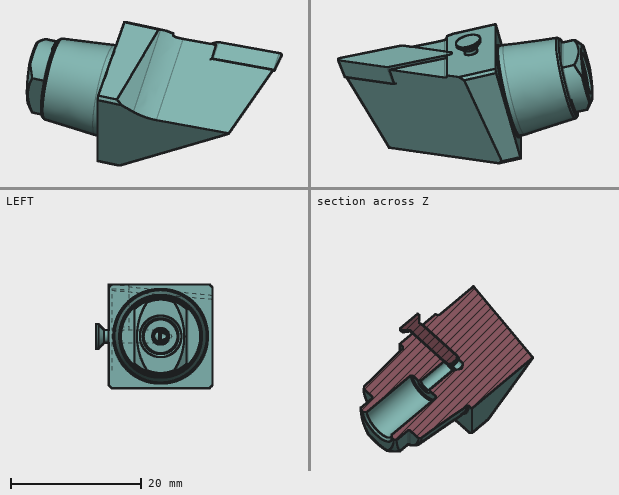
import cadquery as cq
import math


HEAD_SIDE = 16.0
HALF_SIDE = HEAD_SIDE / 2
HEAD_CHAMFER = 0.5
STOCK_LENGTH = 2 * HEAD_SIDE

TIP_REACH = 25.0
INSERT_INSCRIBED_DIAMETER = 6.35
INSERT_POINT_ANGLE = 35.0
INSERT_THICKNESS = 3.18
INSERT_CORNER_RADIUS = 0.4
INSERT_CLEARANCE_ANGLE = 5.0
INSERT_TILT = 3.0
INSERT_SIDE = INSERT_INSCRIBED_DIAMETER / math.sin(math.radians(INSERT_POINT_ANGLE))

TOP_SETBACK = 0.12
FLANK_ANGLE = INSERT_TILT + INSERT_POINT_ANGLE
FLANK_SETBACK = 0.09
HEAD_TIP_RADIUS = 0.1
FACE_RECESS = 0.5
RECESS_START = 7.7
RECESS_CORNER_RADIUS = 0.5

RAMP_ANGLE = 28.0
HOLLOW_RADIUS = 7.0
HOLLOW_END = 9.4

SHANK_LENGTH = 12.48
COLLAR_X = -9.55
COLLAR_CHAMFER = 0.37
COLLAR_FACE_RADIUS = 6.1
TAPER_SMALL_RADIUS = 6.38
SHANK_RADIUS = 7.1
TAPER_END_X = -1.0
ROOT_FLARE = 0.2

NOSE_RADIUS = 5.82
NOSE_CHAMFER = 0.18
NOSE_ROOT_FILLET = 0.2
FLAT_HALF_WIDTH = 4.0
LEAD_OFFSET = 6.06
LEAD_RADIUS = 9.7
LEAD_SLOPE = 0.8

BORE_RADIUS = 2.75
BORE_MOUTH_RADIUS = 3.2
BORE_STEP_RADIUS = 2.6
BORE_DEPTH = 10.0
DUCT_RADIUS = 1.0
DUCT_MOUTH_RADIUS = 1.29

SCREW_X = 3.84
SCREW_STANDOUT = 1.95
SCREW_TOP = HALF_SIDE + SCREW_STANDOUT
SCREW_END = -0.1
SCREW_RADIUS = 1.0
SCREW_END_RADIUS = 0.5
SCREW_END_CHAMFER = 0.33
SCREW_HEAD_RADIUS = 1.92
SCREW_HEAD_RIM = 0.38
SCREW_HEAD_HEIGHT = 1.28
PILOT_RADIUS = 0.75
PILOT_BOTTOM = -1.3
DRILL_POINT_HALF_ANGLE = 59.0


def toward(angle, distance):
    """Vector in the XZ plane at an angle (degrees) above +X."""
    radians = math.radians(angle)
    return cq.Vector(distance * math.cos(radians), 0, distance * math.sin(radians))


POINT_BISECTOR = INSERT_TILT + INSERT_POINT_ANGLE / 2
CORNER_CENTER = cq.Vector(TIP_REACH - INSERT_CORNER_RADIUS, 0, HALF_SIDE - INSERT_CORNER_RADIUS)
SHARP_TIP = CORNER_CENTER + toward(
    POINT_BISECTOR, INSERT_CORNER_RADIUS / math.sin(math.radians(INSERT_POINT_ANGLE / 2))
)


def make_insert():
    """Rhombic plate with rounded corners, full size on its +Y face."""
    along_top = toward(INSERT_TILT, -INSERT_SIDE)
    along_flank = toward(INSERT_TILT + INSERT_POINT_ANGLE, -INSERT_SIDE)
    corners = [
        SHARP_TIP,
        SHARP_TIP + along_top,
        SHARP_TIP + along_top + along_flank,
        SHARP_TIP + along_flank,
    ]
    rounded_plate = (
        cq.Workplane("XZ", origin=(0, HALF_SIDE, 0))
        .polyline([(corner.x, corner.z) for corner in corners])
        .close()
        .extrude(INSERT_THICKNESS)
        .edges("|Y")
        .fillet(INSERT_CORNER_RADIUS)
    )
    outline = rounded_plate.faces(">Y").wires()
    return outline.toPending().workplane(invert=True).extrude(
        INSERT_THICKNESS, taper=INSERT_CLEARANCE_ANGLE, combine=False
    )


def revolve_x(*profile):
    """Solid of revolution about the X axis from (x, radius) points."""
    return cq.Workplane("XZ").polyline(profile).close().revolve(360, (0, 0, 0), (1, 0, 0))


def leaning_prism(outline, lean):
    """Prism through the head from an XZ outline at the middle, moved by `lean` per unit of Y."""
    reach = HEAD_SIDE
    start = cq.Vector(0, -reach, 0) - lean * reach
    sweep = (cq.Vector(0, 1, 0) + lean) * (2 * reach)
    wire = cq.Wire.assembleEdges(outline.translate(start).edges().vals())
    return cq.Workplane(cq.Solid.extrudeLinear(wire, [], sweep))


def make_head():
    head = cq.Workplane("XY").box(STOCK_LENGTH, HEAD_SIDE, HEAD_SIDE, centered=(False, True, True))
    head = head.edges("|X").chamfer(HEAD_CHAMFER)
    head = head.cut(hollow_cutter()).cut(flank_cutter())
    tip_edge = cq.selectors.NearestToPointSelector(SHARP_TIP.toTuple())
    head = head.edges(tip_edge).fillet(HEAD_TIP_RADIUS)
    return head.cut(recess_cutter())


def hollow_cutter():
    """Ramp, concave arc and top sloping face, leaning like the insert's top side."""
    lean_rise = math.tan(math.radians(INSERT_CLEARANCE_ANGLE)) / math.cos(math.radians(INSERT_TILT))
    seat = SHARP_TIP + toward(INSERT_TILT - 90, TOP_SETBACK)
    slope = math.tan(math.radians(INSERT_TILT))
    face_z = seat.z - lean_rise * HALF_SIDE - (seat.x - HOLLOW_END) * slope
    arc_end = cq.Vector(HOLLOW_END, 0, face_z)
    arc_center = arc_end + toward(INSERT_TILT + 90, HOLLOW_RADIUS)
    arc_start = arc_center + toward(-90 - RAMP_ANGLE, HOLLOW_RADIUS)
    arc_middle = arc_center + toward(-90 + (INSERT_TILT - RAMP_ANGLE) / 2, HOLLOW_RADIUS)
    face_end = arc_end + toward(INSERT_TILT, STOCK_LENGTH)
    ramp_top = arc_start + toward(180 - RAMP_ANGLE, HALF_SIDE)
    outline = (
        cq.Workplane("XZ")
        .moveTo(ramp_top.x, ramp_top.z)
        .lineTo(arc_start.x, arc_start.z)
        .threePointArc((arc_middle.x, arc_middle.z), (arc_end.x, arc_end.z))
        .lineTo(face_end.x, face_end.z)
        .lineTo(face_end.x, ramp_top.z)
        .close()
    )
    return leaning_prism(outline, cq.Vector(0, 0, lean_rise))


def flank_cutter():
    """Everything beyond the long face under the insert, leaning like the insert's lower side."""
    lean = toward(FLANK_ANGLE - 90, math.tan(math.radians(INSERT_CLEARANCE_ANGLE)))
    seat = SHARP_TIP + toward(FLANK_ANGLE + 90, FLANK_SETBACK) - lean * HALF_SIDE
    upper = seat + toward(FLANK_ANGLE, HEAD_SIDE)
    lower = seat + toward(FLANK_ANGLE, -STOCK_LENGTH)
    corners = [(upper.x, upper.z), (lower.x, lower.z), (upper.x, lower.z)]
    outline = cq.Workplane("XZ").polyline(corners).close()
    return leaning_prism(outline, lean)


def recess_cutter():
    """Shallow step in the +Y face with a rounded inner corner, leaving the insert proud of it."""
    floor_y = HALF_SIDE - FACE_RECESS
    return (
        cq.Workplane("XY", origin=(0, 0, -HEAD_SIDE))
        .moveTo(RECESS_START, HALF_SIDE)
        .radiusArc((RECESS_START + RECESS_CORNER_RADIUS, floor_y), -RECESS_CORNER_RADIUS)
        .lineTo(STOCK_LENGTH, floor_y)
        .lineTo(STOCK_LENGTH, HALF_SIDE)
        .close()
        .extrude(STOCK_LENGTH)
    )


def tip_opening_cutter():
    """Opens the insert seat around the rounded cutting corner."""
    opening = cq.Workplane("XY").box(HEAD_SIDE, HALF_SIDE, HEAD_SIDE, centered=(False, False, True))
    return opening.translate((CORNER_CENTER.x, HALF_SIDE - INSERT_THICKNESS, 0))


def make_shank():
    return revolve_x(
        (0, 0),
        (0, SHANK_RADIUS + ROOT_FLARE),
        (-ROOT_FLARE, SHANK_RADIUS),
        (TAPER_END_X, SHANK_RADIUS),
        (COLLAR_X + COLLAR_CHAMFER, TAPER_SMALL_RADIUS),
        (COLLAR_X, COLLAR_FACE_RADIUS),
        (COLLAR_X, 0),
    )


def make_nose():
    nose = revolve_x(
        (COLLAR_X, 0),
        (COLLAR_X, NOSE_RADIUS),
        (-SHANK_LENGTH + NOSE_CHAMFER, NOSE_RADIUS),
        (-SHANK_LENGTH, NOSE_RADIUS - NOSE_CHAMFER),
        (-SHANK_LENGTH, 0),
    )
    length = SHANK_LENGTH + COLLAR_X
    flats = cq.Workplane("XY").box(length, 2 * FLAT_HALF_WIDTH, HEAD_SIDE)
    nose = nose.intersect(flats.translate((COLLAR_X - length / 2, 0, 0)))
    lead = revolve_x(
        (COLLAR_X, 0),
        (COLLAR_X, LEAD_RADIUS + length / LEAD_SLOPE),
        (-SHANK_LENGTH, LEAD_RADIUS),
        (-SHANK_LENGTH, 0),
    )
    for side in (-1, 1):
        nose = nose.intersect(lead.translate((0, side * LEAD_OFFSET, 0)))
    return nose


def round_nose_root(body):
    """Fillet where the nose meets the flat face of the collar."""
    reach = (NOSE_RADIUS + COLLAR_FACE_RADIUS) / 2
    around_nose = cq.selectors.BoxSelector(
        (COLLAR_X - NOSE_ROOT_FILLET, -reach, -reach),
        (COLLAR_X + NOSE_ROOT_FILLET, reach, reach),
        boundingbox=True,
    )
    return body.edges(around_nose).fillet(NOSE_ROOT_FILLET)


def bore_cutter():
    """Wide bore, flat at its floor, and a narrow duct with a drill point breaking into the screw hole."""
    mouth = BORE_MOUTH_RADIUS - BORE_RADIUS
    floor_x = BORE_DEPTH - SHANK_LENGTH
    step = BORE_RADIUS - BORE_STEP_RADIUS
    duct_mouth = DUCT_MOUTH_RADIUS - DUCT_RADIUS
    duct_end = SCREW_X - PILOT_RADIUS
    return revolve_x(
        (-SHANK_LENGTH, 0),
        (-SHANK_LENGTH, BORE_MOUTH_RADIUS),
        (-SHANK_LENGTH + mouth, BORE_RADIUS),
        (floor_x - step, BORE_RADIUS),
        (floor_x, BORE_STEP_RADIUS),
        (floor_x, DUCT_MOUTH_RADIUS),
        (floor_x + duct_mouth, DUCT_RADIUS),
        (duct_end, DUCT_RADIUS),
        (duct_end + DUCT_RADIUS / math.tan(math.radians(DRILL_POINT_HALF_ANGLE)), 0),
    )


def turned_along_y(profile):
    """Solid of revolution about the screw axis from (radius, y) points."""
    return (
        cq.Workplane("XY", origin=(SCREW_X, 0, 0))
        .polyline(profile)
        .close()
        .revolve(360, (0, 0, 0), (0, 1, 0))
    )


def screw_hole_cutter():
    """Hole that fits the screw, continued by a smaller pilot drilling."""
    drill_point = PILOT_RADIUS / math.tan(math.radians(DRILL_POINT_HALF_ANGLE))
    return turned_along_y([
        (0, HALF_SIDE),
        (SCREW_RADIUS, HALF_SIDE),
        (SCREW_RADIUS, SCREW_END),
        (PILOT_RADIUS, SCREW_END),
        (PILOT_RADIUS, PILOT_BOTTOM),
        (0, PILOT_BOTTOM - drill_point),
    ])


def make_screw():
    """Countersunk-head screw with a chamfered end."""
    return turned_along_y([
        (0, SCREW_TOP),
        (SCREW_HEAD_RADIUS, SCREW_TOP),
        (SCREW_HEAD_RADIUS, SCREW_TOP - SCREW_HEAD_RIM),
        (SCREW_RADIUS, SCREW_TOP - SCREW_HEAD_HEIGHT),
        (SCREW_RADIUS, SCREW_END + SCREW_END_CHAMFER),
        (SCREW_END_RADIUS, SCREW_END),
        (0, SCREW_END),
    ])


insert = make_insert()
screw = make_screw()
holder = make_head().union(make_shank()).union(make_nose())
holder = round_nose_root(holder)
holder = holder.cut(bore_cutter()).cut(screw_hole_cutter())
holder = holder.cut(insert).cut(tip_opening_cutter()).solids()

result = cq.Compound.makeCompound([holder.val(), insert.val(), screw.val()])